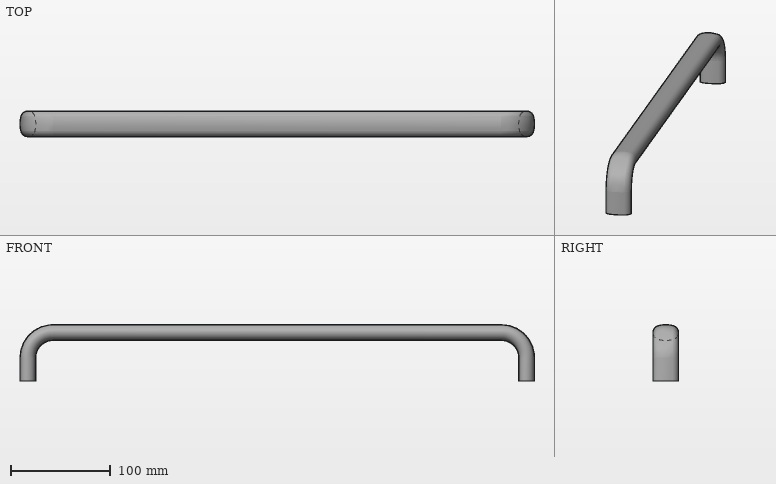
import cadquery as cq
import math

length = 517.0
width = 26.0
height = 57.0

thickness = 16.0
side_radius = 7.0

bend_radius = 25.5

half_width = width / 2
half_thickness = thickness / 2
half_span = (length - thickness) / 2
centreline_height = height - half_thickness
leg_height = centreline_height - bend_radius

side_center = half_width - side_radius
radius_step = half_thickness - side_radius
broad_offset = (side_center**2 - radius_step**2) / (2 * radius_step)
broad_radius = half_thickness + broad_offset
joint_y = side_center * broad_radius / math.hypot(side_center, broad_offset)
joint_x = math.sqrt(broad_radius**2 - joint_y**2) - broad_offset


def bar_section():
    """Oval at the foot of the left leg."""
    return (
        cq.Workplane("XY", origin=(-half_span, 0, 0))
        .moveTo(joint_x, -joint_y)
        .threePointArc((half_thickness, 0), (joint_x, joint_y))
        .threePointArc((0, half_width), (-joint_x, joint_y))
        .threePointArc((-half_thickness, 0), (-joint_x, -joint_y))
        .threePointArc((0, -half_width), (joint_x, -joint_y))
        .close()
    )


def handle_path():
    """Centreline up one leg, along the grip and down the other leg."""
    bend_center_x = half_span - bend_radius
    bend_mid = bend_radius * math.sqrt(0.5)
    bend_mid_x = bend_center_x + bend_mid
    bend_mid_z = leg_height + bend_mid
    return (
        cq.Workplane("XZ")
        .moveTo(-half_span, 0)
        .lineTo(-half_span, leg_height)
        .threePointArc((-bend_mid_x, bend_mid_z), (-bend_center_x, centreline_height))
        .lineTo(bend_center_x, centreline_height)
        .threePointArc((bend_mid_x, bend_mid_z), (half_span, leg_height))
        .lineTo(half_span, 0)
    )


result = bar_section().sweep(handle_path())